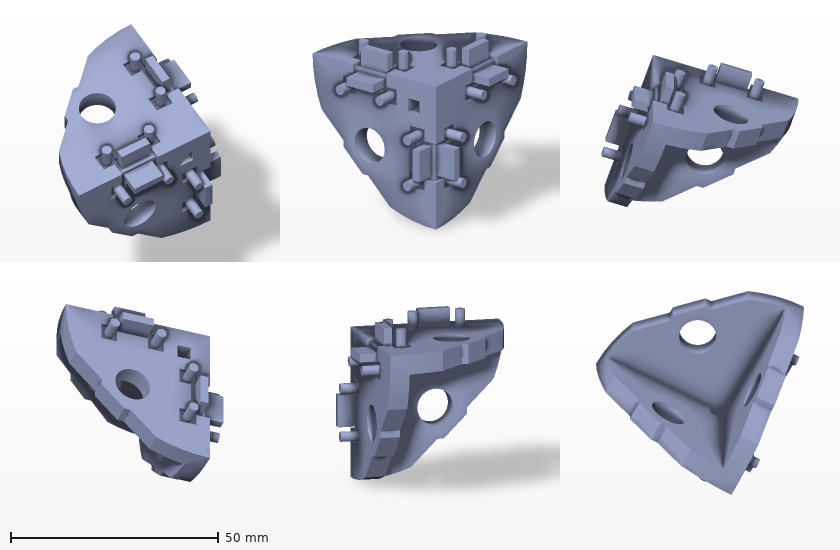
import cadquery as cq
import math


overall = 41.2
connector_height = 4.1
plate_radius = overall - connector_height
plate_thickness = 4.9

shoulder_sum = 48.25
tab_sum = 49.85
tab_reach = 27.8

hole_diameter = 8.95
feature_center = 19.9

recess_depth = 0.95
pin_diameter = 2.45
pin_spacing = 11.9
pin_inset = 5.65
key_length = 7.95
key_width = 2.05
key_inset = 2.93
channel_length = 10.1
channel_inset = 3.5
bridge_inset = 4.9
pad_outer_span = 16.03
pad_far_inset = 7.9

square_size = 3.5
square_pocket_depth = 0.95


def turn(body, count):
    """Turn a body about the (1, 1, 1) diagonal, carrying Z to X to Y with each step."""
    return body.rotate((0, 0, 0), (1, 1, 1), 120 * count)


def on_all_plates(body):
    """Repeat a body made for the Z plate on the X and Y plates."""
    return body.union(turn(body, 1)).union(turn(body, 2))


def box(near, far):
    """Box between two opposite corners, the first having the smaller coordinates."""
    size = [b - a for a, b in zip(near, far)]
    return cq.Workplane("XY").box(*size, centered=False).translate(near)


def outline_prism():
    """Plate outline, extruded over the full depth of the bracket."""
    half_gap = math.sqrt(plate_radius**2 / 2 - shoulder_sum**2 / 4)
    shoulder_far = shoulder_sum / 2 + half_gap
    shoulder_near = shoulder_sum / 2 - half_gap
    notch = shoulder_sum - tab_reach
    tab_near = tab_sum - tab_reach

    rim_angle = math.atan2(shoulder_near, shoulder_far) / 2
    rim_far = plate_radius * math.cos(rim_angle)
    rim_near = plate_radius * math.sin(rim_angle)
    return (
        cq.Workplane("XY")
        .lineTo(-plate_radius, 0)
        .threePointArc((-rim_far, -rim_near), (-shoulder_far, -shoulder_near))
        .lineTo(-tab_reach, -notch)
        .lineTo(-tab_reach, -tab_near)
        .lineTo(-tab_near, -tab_reach)
        .lineTo(-notch, -tab_reach)
        .lineTo(-shoulder_near, -shoulder_far)
        .threePointArc((-rim_near, -rim_far), (0, -plate_radius))
        .close()
        .extrude(-plate_radius)
    )


def shell():
    """Three plates whose ends are trimmed by each other's outline."""
    prism = outline_prism()
    solid = prism.intersect(turn(prism, 1)).intersect(turn(prism, 2))
    inner = -plate_thickness
    return solid.cut(box((-overall, -overall, -overall), (inner, inner, inner)))


def both_edges(body):
    """Repeat a body at the Y edge of the Z plate on its X edge."""
    centered = body.translate((feature_center, 0, 0))
    turned = centered.rotate((0, 0, 0), (0, 0, 1), -90)
    return body.union(turned.translate((0, -feature_center, 0)))


def connector_recess():
    """Recess around the pins and key, open to the plate edge."""
    def recess_part(half_start, half_end, inset_start, inset_end):
        return box(
            (-feature_center + half_start, -inset_end, -recess_depth),
            (-feature_center + half_end, -inset_start, 0),
        )

    half_key = key_length / 2
    half_channel = channel_length / 2
    half_pads = pad_outer_span / 2
    recess = recess_part(-half_channel, half_channel, 0, channel_inset)
    recess = recess.union(recess_part(-half_key, half_key, channel_inset, bridge_inset))
    for start, end in ((-half_pads, -half_key), (half_key, half_pads)):
        recess = recess.union(recess_part(start, end, channel_inset, pad_far_inset))
    return both_edges(recess)


def connector():
    """Two pins with a rectangular key between them, rising from the recess floor."""
    floor = cq.Workplane("XY", origin=(-feature_center, 0, -recess_depth))
    height = connector_height + recess_depth
    pin_places = [(-pin_spacing / 2, -pin_inset), (pin_spacing / 2, -pin_inset)]
    pins = floor.pushPoints(pin_places).circle(pin_diameter / 2).extrude(height)
    key = floor.center(0, -key_inset).rect(key_length, key_width).extrude(height)
    return both_edges(pins.union(key))


def round_hole():
    """Hole through the thickness of the Z plate."""
    return (
        cq.Workplane("XY")
        .center(-feature_center, -feature_center)
        .circle(hole_diameter / 2)
        .extrude(-plate_thickness)
    )


def square_openings():
    """Square hole through the X plate and square blind pocket in the Y plate."""
    near = -plate_thickness - square_size
    far = -plate_thickness
    x_hole = box((far, near, near), (0, far, far))
    y_pocket = box((near, far, near), (far, far + square_pocket_depth, far))
    return x_hole.union(y_pocket)


result = (
    shell()
    .cut(on_all_plates(round_hole()))
    .cut(on_all_plates(connector_recess()))
    .cut(square_openings())
    .union(on_all_plates(connector()))
)